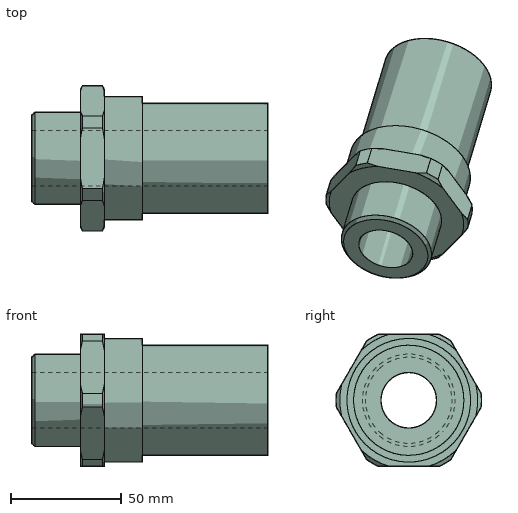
import cadquery as cq
import math

total_length = 107.0
nut_start = 22.0
nut_end = 33.0
collar_end = 50.2

spigot_diameter = 41.9
spigot_chamfer = 1.4
nut_across_flats = 60.0
nut_corner_diameter = 66.0
nut_face_diameter = 62.5
nut_bevel_length = 1.0
collar_diameter = 56.1
tube_diameter = 50.0
bore_diameter = 25.0


def cylinder(start, end, diameter):
    """Solid cylinder on the X axis between two X positions."""
    return cq.Workplane("YZ", origin=(start, 0, 0)).circle(diameter / 2).extrude(end - start)


def hex_nut():
    """Hexagon with flats facing +Z and -Z, its corners turned round and bevelled at both ends."""
    width_across_corners = nut_across_flats / math.cos(math.pi / 6)
    hexagon = (
        cq.Workplane("YZ", origin=(nut_start, 0, 0))
        .polygon(6, width_across_corners)
        .extrude(nut_end - nut_start)
    )
    face_radius = nut_face_diameter / 2
    corner_radius = nut_corner_diameter / 2
    turned_blank = (
        cq.Workplane("XY")
        .moveTo(nut_start, 0)
        .lineTo(nut_start, face_radius)
        .lineTo(nut_start + nut_bevel_length, corner_radius)
        .lineTo(nut_end - nut_bevel_length, corner_radius)
        .lineTo(nut_end, face_radius)
        .lineTo(nut_end, 0)
        .close()
        .revolve(360, (0, 0, 0), (1, 0, 0))
    )
    return hexagon.intersect(turned_blank)


spigot = cylinder(0, nut_start, spigot_diameter).faces("<X").chamfer(spigot_chamfer)
collar = cylinder(nut_end, collar_end, collar_diameter)
tube = cylinder(collar_end, total_length, tube_diameter)
bore = cylinder(0, total_length, bore_diameter)

result = spigot.union(hex_nut()).union(collar).union(tube).cut(bore)